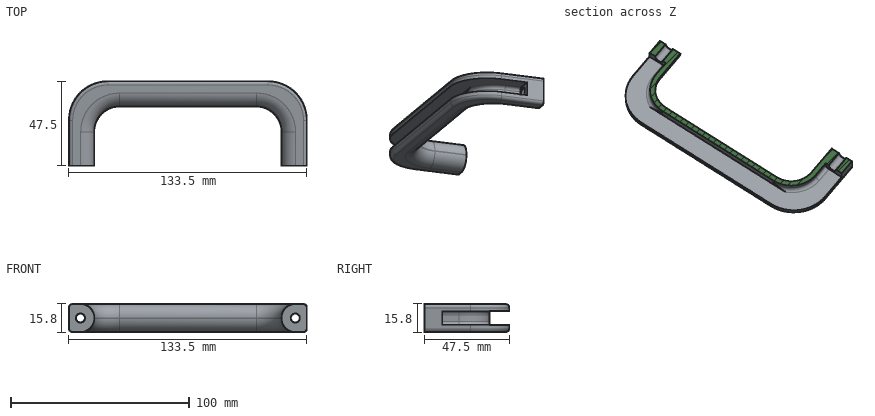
import cadquery as cq

length = 133.5
height = 47.5
thickness = 15.8

bar_width = 14.3
outer_edge_radius = 2.0
grip_edge_radius = 7.7

outer_bend_radius = 21.9
inner_bend_radius = 14.0

slot_width = 7.6
slot_depth = 11.1
slot_floor_radius = 2.0
slot_start = 10.0

hole_diameter = 5.0
hole_inset = 6.5

overshoot = 6.7
edge_margin = 1.3


def arch(inset, bend_radius, depth, base=0.0):
    """Block inset from the outer sides and top, with two rounded top corners, centred on Z = 0."""
    width = length - 2 * inset
    top = height - inset
    block = cq.Workplane("XY").box(width, top - base, depth, centered=(True, False, True))
    return block.edges("|Z and >Y").fillet(bend_radius).translate((0, base, 0))


def handle_body():
    """U-shaped bar with lightly rounded outer edges and a nearly round grip side."""
    outer = arch(0, outer_bend_radius, thickness)
    outer = outer.faces("|Z").edges("not <Y").fillet(outer_edge_radius)

    opening = arch(bar_width, inner_bend_radius, thickness, -overshoot)
    body = outer.cut(opening)
    grip_corner = cq.selectors.BoxSelector(
        (-length / 2 + bar_width - edge_margin, -edge_margin, -thickness),
        (length / 2 - bar_width + edge_margin, height - bar_width + edge_margin, thickness),
    )
    return body.faces("|Z").edges(grip_corner).edges("not <Y").fillet(grip_edge_radius)


def slot_cutter():
    """U-shaped slot tool whose floor follows the grip side and has rounded corners in the legs and bends."""
    bend_radius = inner_bend_radius + bar_width - slot_depth
    surround = cq.Workplane("XY").box(
        length + 2 * overshoot, height + overshoot - slot_start, slot_width, centered=(True, False, True)
    ).translate((0, slot_start, 0))
    core = arch(slot_depth, bend_radius, slot_width, slot_start)
    cutter = surround.cut(core)
    floor_corner = cq.selectors.BoxSelector(
        (-length / 2 + slot_depth - edge_margin, slot_start - edge_margin, -thickness),
        (length / 2 - slot_depth + edge_margin, height - slot_depth + edge_margin, thickness),
    )
    cutter = cutter.faces("|Z").edges(floor_corner).edges("not <Y").fillet(slot_floor_radius)

    crossbar_slot = cq.Workplane("XY").box(
        length, slot_depth + overshoot, slot_width, centered=(True, False, True)
    ).translate((0, height - slot_depth, 0))
    return cutter.union(crossbar_slot)


def mounting_holes():
    """Round hole tools along Y, ending inside the slot."""
    hole_x = length / 2 - hole_inset
    hole_length = slot_start + overshoot
    return (
        cq.Workplane("XZ")
        .pushPoints([(-hole_x, 0), (hole_x, 0)])
        .circle(hole_diameter / 2)
        .extrude(-hole_length)
    )


result = handle_body().cut(slot_cutter()).cut(mounting_holes())